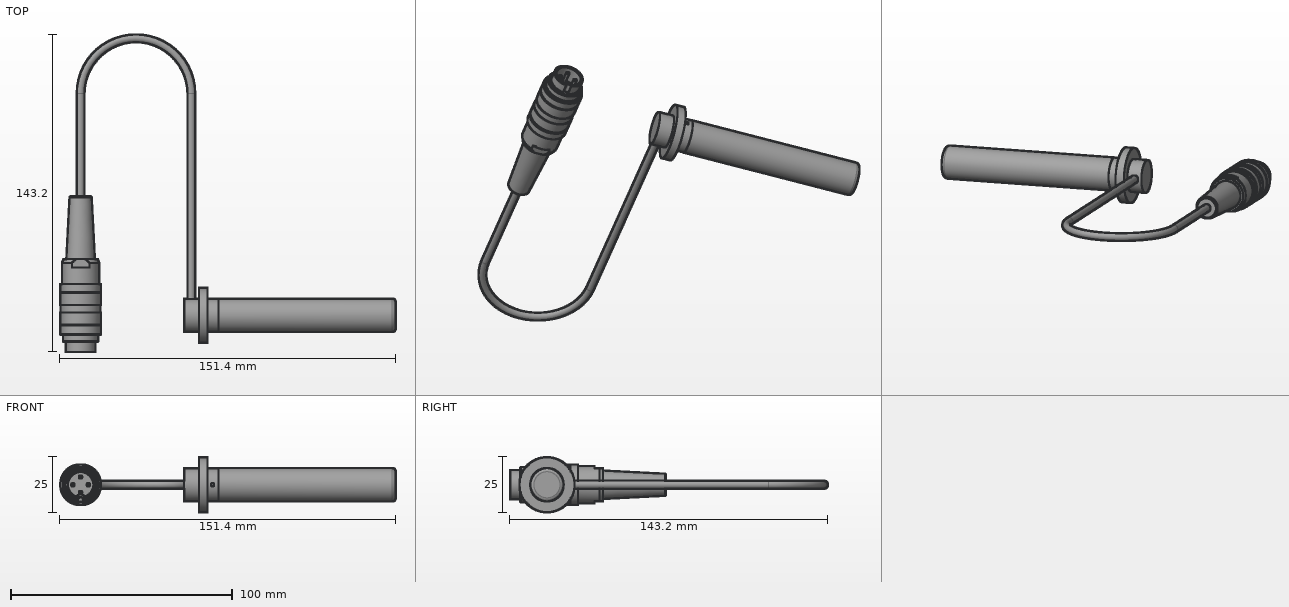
import cadquery as cq
import math

sensor_length = 95.5
collar_diameter = 15.0
barrel_diameter = 15.1
collar_length = 15.6
tip_fillet_radius = 1.7
flange_diameter = 25.0
flange_start = 6.7
flange_thickness = 4.0
indicator_diameter = 1.5
indicator_x = 12.9
indicator_depth = 0.8

cable_diameter = 3.6
bend_radius = 25.0
cable_x = 3.3
plug_x = cable_x - 2 * bend_radius
bend_y = 99.8
plug_y = -16.6

shell_diameter = 13.5
bore_diameter = 11.5
ring_diameter = 16.0
sleeve_diameter = 18.5
band_diameter = 18.2
body_diameter = 17.0
boot_base_diameter = 13.0
boot_tip_diameter = 10.1
ring_start = 4.5
sleeve_start = 7.9
front_groove_start = 12.1
front_groove_end = 12.4
band_start = 17.8
band_end = 21.3
rear_groove_start = 26.6
rear_groove_end = 27.2
body_start = 30.7
boot_start = 41.9
boot_end = 70.3
ring_chamfer = 0.5
sleeve_chamfer_length = 0.5
boot_tip_chamfer = 0.6
body_chamfer_length = 1.7
body_chamfer_depth = 0.68
flat_start = 38.1
flat_spacing = 15.0

bore_depth = 7.5
pin_diameter = 1.5
pin_tip_diameter = 0.8
pin_length = 6.8
pin_circle_radius = 3.5
pin_count = 4
key_diameter = 4.7
key_groove_diameter = 2.3


def cylinder_along_y(x, y, z, diameter, length):
    """Solid cylinder that starts at (x, y, z) and runs towards +Y."""
    return cq.Workplane(
        cq.Solid.makeCylinder(diameter / 2, length, cq.Vector(x, y, z), cq.Vector(0, 1, 0))
    )


def make_sensor():
    collar_radius = collar_diameter / 2
    barrel_radius = barrel_diameter / 2
    flange_radius = flange_diameter / 2
    flange_end = flange_start + flange_thickness
    body = (
        cq.Workplane("XY")
        .polyline([
            (0, 0),
            (0, collar_radius),
            (flange_start, collar_radius),
            (flange_start, flange_radius),
            (flange_end, flange_radius),
            (flange_end, collar_radius),
            (collar_length, collar_radius),
            (collar_length, barrel_radius),
            (sensor_length, barrel_radius),
            (sensor_length, 0),
        ])
        .close()
        .revolve(360, (0, 0, 0), (1, 0, 0))
        .faces(">X")
        .edges()
        .fillet(tip_fillet_radius)
    )
    indicator = cylinder_along_y(indicator_x, -barrel_radius, 0, indicator_diameter, indicator_depth)
    return body.cut(indicator)


def make_plug():
    shell_r = shell_diameter / 2
    ring_r = ring_diameter / 2
    sleeve_r = sleeve_diameter / 2
    band_r = band_diameter / 2
    body_r = body_diameter / 2
    boot_tip_r = boot_tip_diameter / 2
    profile = [
        (0, 0),
        (shell_r, 0),
        (shell_r, ring_start),
        (ring_r - ring_chamfer, ring_start),
        (ring_r, ring_start + ring_chamfer),
        (ring_r, sleeve_start),
        (band_r, sleeve_start),
        (sleeve_r, sleeve_start + sleeve_chamfer_length),
        (sleeve_r, front_groove_start),
        (band_r, front_groove_start),
        (band_r, front_groove_end),
        (sleeve_r, front_groove_end),
        (sleeve_r, band_start),
        (band_r, band_start),
        (band_r, band_end),
        (sleeve_r, band_end),
        (sleeve_r, rear_groove_start),
        (band_r, rear_groove_start),
        (band_r, rear_groove_end),
        (sleeve_r, rear_groove_end),
        (sleeve_r, body_start),
        (body_r, body_start),
        (body_r, boot_start - body_chamfer_length),
        (body_r - body_chamfer_depth, boot_start),
        (boot_base_diameter / 2, boot_start),
        (boot_tip_r, boot_end - boot_tip_chamfer),
        (boot_tip_r - boot_tip_chamfer, boot_end),
        (0, boot_end),
    ]
    plug = (
        cq.Workplane("XY")
        .polyline(profile)
        .close()
        .revolve(360, (0, 0, 0), (0, 1, 0))
        .translate((plug_x, plug_y, 0))
    )
    return cut_flats(plug)


def cut_flats(plug):
    flat_length = boot_start - flat_start
    for side in (1, -1):
        cutter = (
            cq.Workplane("XY")
            .box(body_diameter, flat_length, body_diameter)
            .translate((
                plug_x,
                plug_y + flat_start + flat_length / 2,
                side * (flat_spacing + body_diameter) / 2,
            ))
        )
        plug = plug.cut(cutter)
    return plug


def add_contacts(plug):
    """Open the bore, with its key rib and round pins."""
    bore = cylinder_along_y(plug_x, plug_y, 0, bore_diameter, bore_depth)
    key_z = -shell_diameter / 2
    key = cylinder_along_y(plug_x, plug_y, key_z, key_diameter, bore_depth)
    plug = plug.cut(bore.cut(key))
    plug = plug.cut(cylinder_along_y(plug_x, plug_y, key_z, key_groove_diameter, ring_start))
    for index in range(pin_count):
        angle = 2 * math.pi * index / pin_count
        pin = cylinder_along_y(
            plug_x + pin_circle_radius * math.cos(angle),
            plug_y + bore_depth - pin_length,
            pin_circle_radius * math.sin(angle),
            pin_diameter,
            pin_length,
        )
        plug = plug.union(pin.faces("<Y").chamfer((pin_diameter - pin_tip_diameter) / 2))
    return plug


def make_cable(sensor):
    path = (
        cq.Workplane("XY")
        .moveTo(plug_x, plug_y + boot_end)
        .lineTo(plug_x, bend_y)
        .threePointArc((plug_x + bend_radius, bend_y + bend_radius), (cable_x, bend_y))
        .lineTo(cable_x, 0)
    )
    cable = (
        cq.Workplane("XZ", origin=(plug_x, plug_y + boot_end, 0))
        .circle(cable_diameter / 2)
        .sweep(path)
    )
    return cable.cut(sensor)


sensor = make_sensor()
connector = add_contacts(make_plug()).union(make_cable(sensor))

result = cq.Compound.makeCompound([sensor.val(), connector.val()])